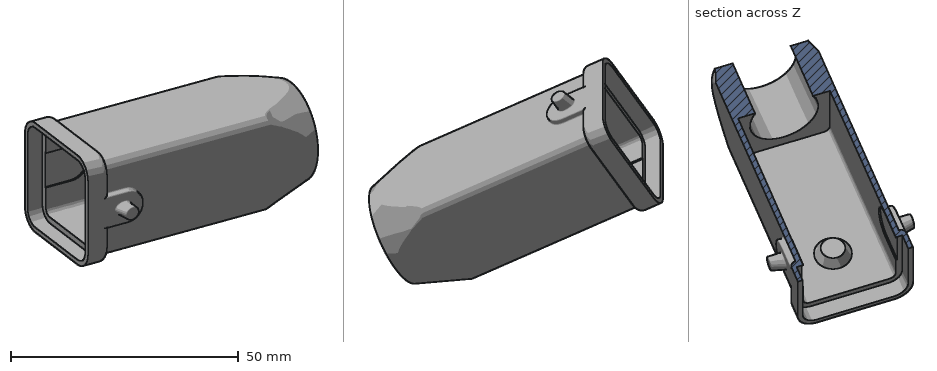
import cadquery as cq
import math


LENGTH = 60.0
FLANGE_SIZE = 27.0
FLANGE_OVERHANG = 1.4
BODY_SIZE = FLANGE_SIZE - 2 * FLANGE_OVERHANG
FLANGE_CORNER = 4.5
BODY_CORNER = FLANGE_CORNER - FLANGE_OVERHANG
CONE_RADIUS = 11.7
CONE_SLOPE = 0.32
CONE_EDGE_ROUND = 0.9

FLANGE_DEPTH = 5.45
FLANGE_ROUND = FLANGE_OVERHANG
MOUTH_SIZE = 24.6
MOUTH_CORNER = FLANGE_CORNER - (FLANGE_SIZE - MOUTH_SIZE) / 2
MOUTH_DEPTH = 3.8

CAVITY_SIZE = 21.6
CAVITY_CORNER = 1.55
CAVITY_END = 45.6
CAVITY_SHRINK = 0.25
CABLE_HOLE_DIAMETER = 15.95

LUG_CENTER_Y = 10.3
LUG_RADIUS = 3.9
LUG_EMBED = 0.6
LUG_FOOT_ROUND = 0.35
LUG_TOP_ROUND = 0.35
PIN_SPAN = 33.4
PIN_RADIUS = 1.6
PIN_CENTER_Y = 9.55
PIN_LEAN = 0.95
PIN_TIP_ROUND = 0.25
PIN_BASE_ROUND = 0.25

POCKET_RADIUS = LUG_RADIUS + LUG_FOOT_ROUND
POCKET_DEPTH = 0.35

BOSS_CENTER_Y = 14.4
BOSS_BASE_RADIUS = 4.2
BOSS_TOP_RADIUS = 2.7
BOSS_HEIGHT = 2.1

BODY_HALF = BODY_SIZE / 2
FLANGE_HALF = FLANGE_SIZE / 2
FLANGE_EDGE_Y = FLANGE_DEPTH - FLANGE_ROUND


def square_bar(size, corner, start_y, end_y, taper=0):
    """Square bar along +Y with rounded corners, centred on the Y axis."""
    profile = cq.Sketch().rect(size, size).vertices().fillet(corner)
    plane = cq.Workplane("XZ", origin=(0, start_y, 0))
    return plane.placeSketch(profile).extrude(start_y - end_y, taper=taper)


def tongue(radius, start_y, start_x, end_x):
    """Plate normal to X, running along Y from start_y to a round end at the lug centre."""
    return (
        cq.Workplane("YZ", origin=(start_x, 0, 0))
        .moveTo(start_y, -radius)
        .lineTo(LUG_CENTER_Y, -radius)
        .threePointArc((LUG_CENTER_Y + radius, 0), (LUG_CENTER_Y, radius))
        .lineTo(start_y, radius)
        .close()
        .extrude(end_x - start_x)
    )


def on_both_sides(solid):
    return solid.union(solid.mirror("YZ"))


def edges_at_sides(side_x, half_height, start_y, end_y):
    """Selector for the edges lying on both side planes X = +-side_x within the given outline."""
    margin = 0.05
    low_y = start_y - margin
    high_y = end_y + margin
    half_z = half_height + margin
    boxes = [
        cq.selectors.BoxSelector(
            (x - margin, low_y, -half_z), (x + margin, high_y, half_z), boundingbox=True
        )
        for x in (-side_x, side_x)
    ]
    return boxes[0] + boxes[1]


def make_body():
    """Square bar whose far end is trimmed to a cone, leaving arched edges on the four faces."""
    bar = square_bar(BODY_SIZE, BODY_CORNER, 0, LENGTH)
    cone = (
        cq.Workplane("XY")
        .moveTo(0, 0)
        .lineTo(CONE_RADIUS + CONE_SLOPE * LENGTH, 0)
        .lineTo(CONE_RADIUS, LENGTH)
        .lineTo(0, LENGTH)
        .close()
        .revolve(360, (0, 0, 0), (0, 1, 0))
    )
    body = bar.intersect(cone)
    return body.faces("%CONE").edges("not(>Y)").fillet(CONE_EDGE_ROUND)


def add_lugs(body):
    """Lugs flush with the flange sides, rounded on top and blended into the body at the foot."""
    lug = tongue(LUG_RADIUS, FLANGE_EDGE_Y, BODY_HALF - LUG_EMBED, FLANGE_HALF)
    lug = lug.faces(">X").edges("not(<Y)").fillet(LUG_TOP_ROUND)
    body = body.union(on_both_sides(lug))
    feet = edges_at_sides(BODY_HALF, LUG_RADIUS, FLANGE_EDGE_Y, LUG_CENTER_Y + LUG_RADIUS)
    return body.edges(feet).fillet(LUG_FOOT_ROUND)


def make_flange():
    flange = square_bar(FLANGE_SIZE, FLANGE_CORNER, 0, FLANGE_DEPTH)
    return flange.faces(">Y").edges().fillet(FLANGE_ROUND)


def pin_section(x, lean):
    """Outline of the pin across X: round, but stretched by lean towards the flange."""
    top = cq.Vector(x, PIN_CENTER_Y, PIN_RADIUS)
    bottom = cq.Vector(x, PIN_CENTER_Y, -PIN_RADIUS)
    far_side = cq.Vector(x, PIN_CENTER_Y + PIN_RADIUS, 0)
    round_half = cq.Edge.makeThreePointArc(bottom, far_side, top)
    reach = PIN_RADIUS + lean
    stretched_half = cq.Edge.makeEllipse(
        reach,
        PIN_RADIUS,
        cq.Vector(x, PIN_CENTER_Y, 0),
        cq.Vector(1, 0, 0),
        cq.Vector(0, 1, 0),
        angle1=90,
        angle2=270,
    )
    return cq.Wire.assembleEdges([round_half, stretched_half])


def make_pin():
    """Round pin on the +X lug; the side towards the flange slants outwards to the base."""
    sections = [pin_section(FLANGE_HALF, PIN_LEAN), pin_section(PIN_SPAN / 2, 0)]
    pin = cq.Workplane(cq.Solid.makeLoft(sections, True))
    return pin.faces(">X").edges().fillet(PIN_TIP_ROUND)


def make_boss():
    floor_z = -CAVITY_SIZE / 2
    return (
        cq.Workplane("XY", origin=(0, BOSS_CENTER_Y, floor_z))
        .circle(BOSS_BASE_RADIUS)
        .workplane(offset=BOSS_HEIGHT)
        .circle(BOSS_TOP_RADIUS)
        .loft()
    )


def add_pins(housing):
    housing = housing.union(on_both_sides(make_pin()))
    pin_start_y = PIN_CENTER_Y - PIN_LEAN - PIN_RADIUS
    bases = edges_at_sides(FLANGE_HALF, PIN_RADIUS, pin_start_y, PIN_CENTER_Y + PIN_RADIUS)
    return housing.edges(bases).fillet(PIN_BASE_ROUND)


def make_hollow():
    """Flange mouth, drafted cavity with its two side pockets, and the cable hole."""
    draft = math.degrees(math.atan(CAVITY_SHRINK / 2 / (CAVITY_END - MOUTH_DEPTH)))
    mouth = square_bar(MOUTH_SIZE, MOUTH_CORNER, 0, MOUTH_DEPTH)
    cavity = square_bar(CAVITY_SIZE, CAVITY_CORNER, MOUTH_DEPTH, CAVITY_END, draft)
    pocket = tongue(POCKET_RADIUS, MOUTH_DEPTH, 0, CAVITY_SIZE / 2 + POCKET_DEPTH)
    cable_hole = cq.Workplane("XZ").circle(CABLE_HOLE_DIAMETER / 2).extrude(-LENGTH)
    return mouth.union(cavity).union(on_both_sides(pocket)).union(cable_hole)


shell = add_lugs(make_body()).union(make_flange())
result = add_pins(shell).cut(make_hollow()).union(make_boss())